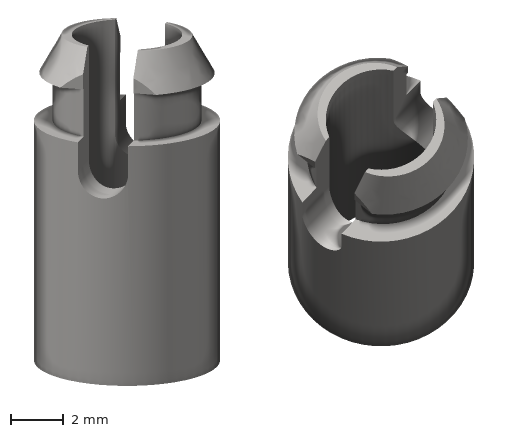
import cadquery as cq
import math

total_height = 12.9
body_diameter = 7.1
body_height = 9.5
bore_diameter = 4.2

neck_width = 5.68
neck_center_shift = 0.09
head_base_height = 11.39
head_base_width = 6.7
head_base_center_shift = 0.17
head_top_width = 5.0
head_top_center_shift = 0.35
head_flat_width = 5.34

slot_width = 1.99
slot_bottom_height = 7.39


def add_lens(workplane, width, center_shift):
    """Draw two arcs of equal radius, width apart on X, meeting at points on the Y axis."""
    half_width = width / 2
    arc_radius = half_width - center_shift
    tip = math.sqrt(arc_radius**2 - center_shift**2)
    return (
        workplane.moveTo(0, -tip)
        .threePointArc((half_width, 0), (0, tip))
        .threePointArc((-half_width, 0), (0, -tip))
        .close()
    )


def make_body():
    return cq.Workplane("XY").circle(body_diameter / 2).extrude(body_height)


def make_neck():
    base = cq.Workplane("XY").workplane(offset=body_height)
    return add_lens(base, neck_width, neck_center_shift).extrude(head_base_height - body_height)


def make_head():
    """Tapered snap head, trimmed by two flats facing +Y and -Y."""
    base = cq.Workplane("XY").workplane(offset=head_base_height)
    lower = add_lens(base, head_base_width, head_base_center_shift)
    upper_plane = lower.workplane(offset=total_height - head_base_height)
    upper = add_lens(upper_plane, head_top_width, head_top_center_shift)
    flats = cq.Workplane("XY").box(
        body_diameter, head_flat_width, total_height, centered=(True, True, False)
    )
    return upper.loft(ruled=True).intersect(flats)


def make_bore():
    return cq.Workplane("XY").circle(bore_diameter / 2).extrude(total_height)


def make_slot():
    slot_radius = slot_width / 2
    arc_center_height = slot_bottom_height + slot_radius
    return (
        cq.Workplane("XZ")
        .moveTo(-slot_radius, total_height)
        .lineTo(-slot_radius, arc_center_height)
        .threePointArc((0, slot_bottom_height), (slot_radius, arc_center_height))
        .lineTo(slot_radius, total_height)
        .close()
        .extrude(body_diameter / 2, both=True)
    )


result = make_body().union(make_neck()).union(make_head()).cut(make_bore()).cut(make_slot())